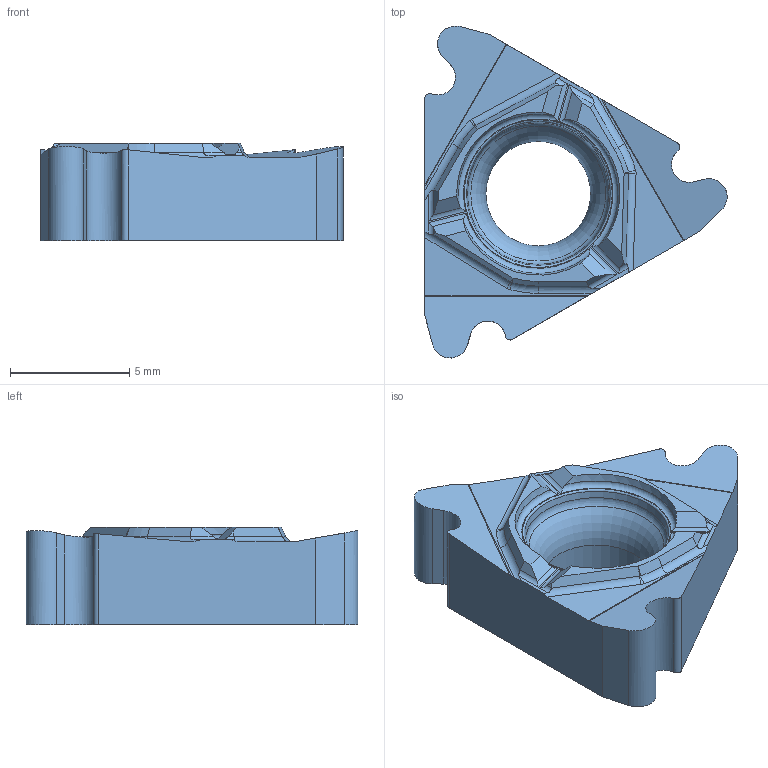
import cadquery as cq
import math


CORNERS = 3
CORNER_STEP = 360 / CORNERS

TOTAL_HEIGHT = 4.1
LAND_HEIGHT = 3.5
SEAT_FLOOR_HEIGHT = 3.57

INSCRIBED_RADIUS = 9.525 / 2
TIP_RADIUS = 0.76
TIP_CENTRE = (-3.705, -6.145)
NOTCH_RADIUS = 0.75
NOTCH_CENTRE = (-2.12, -6.105)
FLANK_ANGLE = 15
HEEL_RADIUS = 0.2
HEEL_LOWEST_Y = -6.15

RAMP_START = 4.30
RAMP_ANGLE = 10
RAMP_BLEND_RADIUS = 0.2

BOSS_FLAT_DISTANCE = 3.69
BOSS_ARC_RADIUS = 4.1
BOSS_ARC_ANGLE = 15
BOSS_SLANT_ANGLE = 31.7
BOSS_DRAFT = 25
BOSS_FOOT_RADIUS = 0.35

SHELF_WALL_DISTANCE = 4.21
SHELF_CORNER_RADIUS = 0.24

HOLE_RADIUS = 4.4 / 2
HOLE_ARC_BOTTOM = 1.31
CONE_ANGLE = 45
HOLE_ARC_TOP_RADIUS = 2.84
THROAT_BLEND_RADIUS = 0.48
RIM_RADIUS = 3.03
RIM_ROUND = 0.08
SEAT_TOP_RADIUS = 3.43
SEAT_WALL_RADIUS = 3.36
SEAT_CORNER_RADIUS = 0.22

GROOVE_ANGLE = 194.5
GROOVE_HALF_WIDTH = 0.755
GROOVE_WALL_ANGLE = 41
GROOVE_CORNER_RADIUS = 0.3
GROOVE_START = 2.6

SIDE_NORMAL = 180
NEXT_SIDE_NORMAL = SIDE_NORMAL + CORNER_STEP
REACH = 10
FOOT_REACH = 0.9 * REACH
TOLERANCE = 0.01


def polar(radius, degrees, centre=(0, 0)):
    """Point at a radius and direction from a centre."""
    angle = math.radians(degrees)
    return (centre[0] + radius * math.cos(angle), centre[1] + radius * math.sin(angle))


def turned(point, degrees):
    """Point rotated about the origin."""
    radius = math.hypot(point[0], point[1])
    return polar(radius, math.degrees(math.atan2(point[1], point[0])) + degrees)


def direction(start, end):
    """Direction in degrees from one point to another."""
    return math.degrees(math.atan2(end[1] - start[1], end[0] - start[0]))


def repeated(shape):
    """The shape together with its copies at the other corners."""
    copies = shape
    for corner in range(1, CORNERS):
        copies = copies.union(shape.rotate((0, 0, 0), (0, 0, 1), corner * CORNER_STEP))
    return copies


def heel_centre():
    """Centre of the small round between the notch and the next side."""
    normal = polar(INSCRIBED_RADIUS - HEEL_RADIUS, NEXT_SIDE_NORMAL)
    centre_y = HEEL_LOWEST_Y + HEEL_RADIUS
    side_direction = math.radians(NEXT_SIDE_NORMAL + 90)
    centre_x = normal[0] + (centre_y - normal[1]) / math.tan(side_direction)
    return (centre_x, centre_y)


def flank_start():
    """Point where the straight side turns into the sloping corner flank."""
    tangent = polar(TIP_RADIUS, 180 + FLANK_ANGLE, TIP_CENTRE)
    run = tangent[0] + INSCRIBED_RADIUS
    return (-INSCRIBED_RADIUS, tangent[1] + run / math.tan(math.radians(FLANK_ANGLE)))


def outline_prism(height):
    """Full triangular outline: rounded tip, round notch and small heel at each corner."""
    heel = heel_centre()
    tip_to_notch = math.dist(TIP_CENTRE, NOTCH_CENTRE)
    neck_offset = math.degrees(math.acos((TIP_RADIUS + NOTCH_RADIUS) / tip_to_notch))
    neck_angle = direction(TIP_CENTRE, NOTCH_CENTRE) - neck_offset
    notch_start = neck_angle + 180
    notch_end = direction(NOTCH_CENTRE, heel)
    tip_start = FLANK_ANGLE - 180
    heel_start = notch_end + 180
    heel_end = NEXT_SIDE_NORMAL

    outline = cq.Workplane("XY").moveTo(*flank_start())
    for corner in range(CORNERS):
        turn = corner * CORNER_STEP

        def place(radius, degrees, centre):
            return turned(polar(radius, degrees, centre), turn)

        if corner > 0:
            outline = outline.lineTo(*turned(flank_start(), turn))
        outline = outline.lineTo(*place(TIP_RADIUS, tip_start, TIP_CENTRE))
        outline = outline.threePointArc(
            place(TIP_RADIUS, (tip_start + neck_angle) / 2, TIP_CENTRE),
            place(TIP_RADIUS, neck_angle, TIP_CENTRE),
        )
        outline = outline.lineTo(*place(NOTCH_RADIUS, notch_start, NOTCH_CENTRE))
        outline = outline.threePointArc(
            place(NOTCH_RADIUS, (notch_start + notch_end) / 2, NOTCH_CENTRE),
            place(NOTCH_RADIUS, notch_end, NOTCH_CENTRE),
        )
        outline = outline.threePointArc(
            place(HEEL_RADIUS, (heel_start + heel_end) / 2, heel),
            place(HEEL_RADIUS, heel_end, heel),
        )
    return outline.close().extrude(height)


def ramp():
    """Wedge rising from the land towards the corner, blended in at its start."""
    slope = math.radians(RAMP_ANGLE)
    blend = RAMP_BLEND_RADIUS * math.tan(slope / 2)
    blend_start = -RAMP_START + blend
    blend_end = (-RAMP_START - blend * math.cos(slope), LAND_HEIGHT + blend * math.sin(slope))
    outer_height = LAND_HEIGHT + (REACH - RAMP_START) * math.tan(slope)
    profile = (
        cq.Workplane("YZ")
        .moveTo(blend_start, LAND_HEIGHT)
        .radiusArc(blend_end, RAMP_BLEND_RADIUS)
        .lineTo(-REACH, outer_height)
        .lineTo(-REACH, 0)
        .lineTo(blend_start, 0)
        .close()
    )
    return profile.extrude(REACH, both=True)


def boss():
    """Tapered boss on a wide slab, with a round along its foot."""
    arc_centre = (0, BOSS_ARC_RADIUS - BOSS_FLAT_DISTANCE)
    crease = polar(BOSS_ARC_RADIUS, -90 - BOSS_ARC_ANGLE, arc_centre)
    arc_middle = polar(BOSS_ARC_RADIUS, -90 - BOSS_ARC_ANGLE / 2, arc_centre)
    flat_start = (0, -BOSS_FLAT_DISTANCE)

    next_crease = turned(crease, CORNER_STEP)
    next_slant = math.radians(CORNER_STEP - BOSS_SLANT_ANGLE)
    point_x = next_crease[0] - (next_crease[1] + BOSS_FLAT_DISTANCE) / math.tan(next_slant)
    point = (point_x, -BOSS_FLAT_DISTANCE)

    outline = cq.Workplane("XY").workplane(offset=TOTAL_HEIGHT).moveTo(*turned(point, -CORNER_STEP))
    for corner in range(CORNERS):
        turn = corner * CORNER_STEP
        outline = outline.lineTo(*turned(crease, turn))
        outline = outline.threePointArc(turned(arc_middle, turn), turned(flat_start, turn))
        if corner < CORNERS - 1:
            outline = outline.lineTo(*turned(point, turn))
    raised = outline.close().extrude(LAND_HEIGHT - TOTAL_HEIGHT, taper=-BOSS_DRAFT)

    slab = cq.Workplane("XY").circle(REACH).extrude(LAND_HEIGHT)
    foot_zone = cq.selectors.BoxSelector(
        (-FOOT_REACH, -FOOT_REACH, LAND_HEIGHT - TOLERANCE),
        (FOOT_REACH, FOOT_REACH, LAND_HEIGHT + TOLERANCE),
        boundingbox=True,
    )
    return slab.union(raised).edges(foot_zone).fillet(BOSS_FOOT_RADIUS)


def shelf():
    """Cutter for the shelf beside the first side, with a rounded inner corner."""
    draft = math.radians(BOSS_DRAFT)
    corner_x = SHELF_WALL_DISTANCE + (TOTAL_HEIGHT - SEAT_FLOOR_HEIGHT) * math.tan(draft)
    blend = SHELF_CORNER_RADIUS * math.tan((math.pi / 2 - draft) / 2)
    floor_start = (-corner_x - blend, SEAT_FLOOR_HEIGHT)
    wall_start = (-corner_x + blend * math.sin(draft), SEAT_FLOOR_HEIGHT + blend * math.cos(draft))
    profile = (
        cq.Workplane("XZ")
        .moveTo(-REACH, SEAT_FLOOR_HEIGHT)
        .lineTo(*floor_start)
        .radiusArc(wall_start, -SHELF_CORNER_RADIUS)
        .lineTo(-SHELF_WALL_DISTANCE, TOTAL_HEIGHT)
        .lineTo(-REACH, TOTAL_HEIGHT)
        .close()
    )
    return profile.extrude(REACH, both=True)


def screw_hole():
    """Revolved cutter: straight hole, curved screw seat, throat, ring seat."""
    bend = math.radians(CONE_ANGLE)
    hole_arc = (HOLE_ARC_TOP_RADIUS - HOLE_RADIUS) / (1 - math.cos(bend))
    hole_arc_top = HOLE_ARC_BOTTOM + hole_arc * math.sin(bend)
    throat_radius = HOLE_ARC_TOP_RADIUS + THROAT_BLEND_RADIUS * (1 - math.cos(bend))
    throat_bottom = hole_arc_top + THROAT_BLEND_RADIUS * math.sin(bend)
    return (
        cq.Workplane("XZ")
        .moveTo(0, 0)
        .lineTo(HOLE_RADIUS, 0)
        .lineTo(HOLE_RADIUS, HOLE_ARC_BOTTOM)
        .radiusArc((HOLE_ARC_TOP_RADIUS, hole_arc_top), hole_arc)
        .radiusArc((throat_radius, throat_bottom), -THROAT_BLEND_RADIUS)
        .lineTo(RIM_RADIUS, SEAT_FLOOR_HEIGHT - RIM_ROUND)
        .radiusArc((RIM_RADIUS + RIM_ROUND, SEAT_FLOOR_HEIGHT), RIM_ROUND)
        .lineTo(SEAT_WALL_RADIUS - SEAT_CORNER_RADIUS, SEAT_FLOOR_HEIGHT)
        .radiusArc((SEAT_WALL_RADIUS, SEAT_FLOOR_HEIGHT + SEAT_CORNER_RADIUS), -SEAT_CORNER_RADIUS)
        .lineTo(SEAT_TOP_RADIUS, TOTAL_HEIGHT)
        .lineTo(0, TOTAL_HEIGHT)
        .close()
        .revolve(360, (0, 0, 0), (0, 1, 0))
    )


def groove():
    """V-shaped radial groove with rounded floor corners."""
    wall = math.radians(GROOVE_WALL_ANGLE)
    depth = TOTAL_HEIGHT - SEAT_FLOOR_HEIGHT
    corner = GROOVE_HALF_WIDTH - depth / math.tan(wall)
    blend = GROOVE_CORNER_RADIUS * math.tan(wall / 2)
    floor_end = corner - blend
    wall_start = (corner + blend * math.cos(wall), SEAT_FLOOR_HEIGHT + blend * math.sin(wall))
    cutter = (
        cq.Workplane("YZ")
        .workplane(offset=GROOVE_START)
        .moveTo(-floor_end, SEAT_FLOOR_HEIGHT)
        .lineTo(floor_end, SEAT_FLOOR_HEIGHT)
        .radiusArc(wall_start, -GROOVE_CORNER_RADIUS)
        .lineTo(GROOVE_HALF_WIDTH, TOTAL_HEIGHT)
        .lineTo(-GROOVE_HALF_WIDTH, TOTAL_HEIGHT)
        .lineTo(-wall_start[0], wall_start[1])
        .radiusArc((-floor_end, SEAT_FLOOR_HEIGHT), -GROOVE_CORNER_RADIUS)
        .close()
        .extrude(INSCRIBED_RADIUS)
    )
    return cutter.rotate((0, 0, 0), (0, 0, 1), GROOVE_ANGLE)


trimmed_boss = boss().cut(repeated(shelf()))
blank = trimmed_boss.union(repeated(ramp()))
shaped = outline_prism(TOTAL_HEIGHT).intersect(blank)
result = shaped.cut(screw_hole()).cut(repeated(groove()))